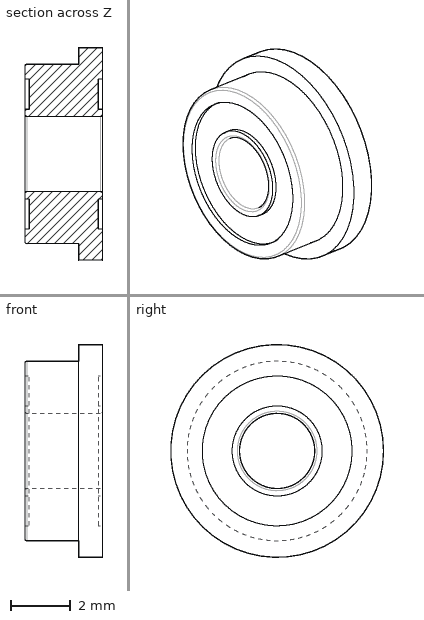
import cadquery as cq

total_width = 2.6
flange_width = 0.8
flange_diameter = 7.1
body_diameter = 6.0
bore_diameter = 2.5
inner_ring_diameter = 3.0
outer_ring_inner_diameter = 5.0
shield_depth = 0.15
edge_radius = 0.08

front_x = -total_width / 2
back_x = total_width / 2


def disc(diameter, start_x, width):
    """Solid cylinder along X, starting at start_x."""
    plane = cq.Workplane("YZ", origin=(start_x, 0, 0))
    return plane.circle(diameter / 2).extrude(width)


def shield_recess(start_x):
    """Ring-shaped recess between the inner and outer bearing rings."""
    outer = disc(outer_ring_inner_diameter, start_x, shield_depth)
    return outer.cut(disc(inner_ring_diameter, start_x, shield_depth))


body = disc(body_diameter, front_x, total_width)
flange = disc(flange_diameter, back_x - flange_width, flange_width)
bearing = body.union(flange).cut(disc(bore_diameter, front_x, total_width))

bearing = bearing.faces("<X").edges().fillet(edge_radius)
bearing = bearing.faces(">X").edges(cq.selectors.RadiusNthSelector(0)).fillet(edge_radius)

bearing = bearing.cut(shield_recess(front_x))
result = bearing.cut(shield_recess(back_x - shield_depth))